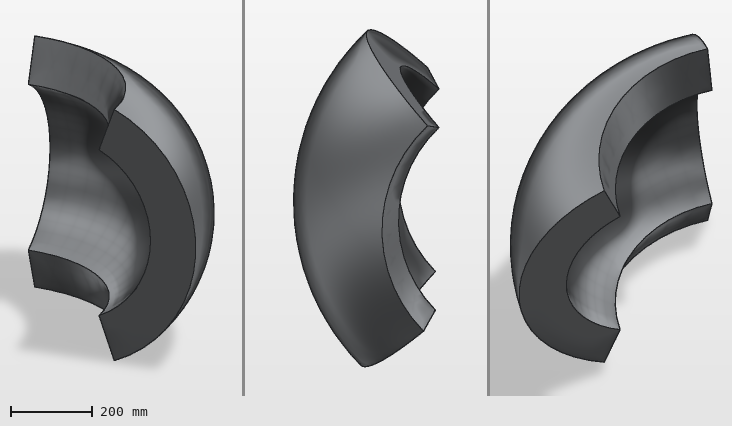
import cadquery as cq

height = 662.5
outer_reach = 579.0
wall = 120.0
outer_rim_radius = 363.0
inner_rim_radius = 323.0
opening_height = 437.5
sweep_angle = 90.0

half_height = height / 2
half_opening = opening_height / 2
inner_reach = outer_reach - wall

section = (
    cq.Workplane("XZ")
    .moveTo(outer_rim_radius, -half_height)
    .threePointArc((outer_reach, 0), (outer_rim_radius, half_height))
    .lineTo(inner_rim_radius, half_opening)
    .threePointArc((inner_reach, 0), (inner_rim_radius, -half_opening))
    .close()
)

axis_start = (0, 0)
axis_end = (0, 1)
result = section.revolve(sweep_angle, axis_start, axis_end)